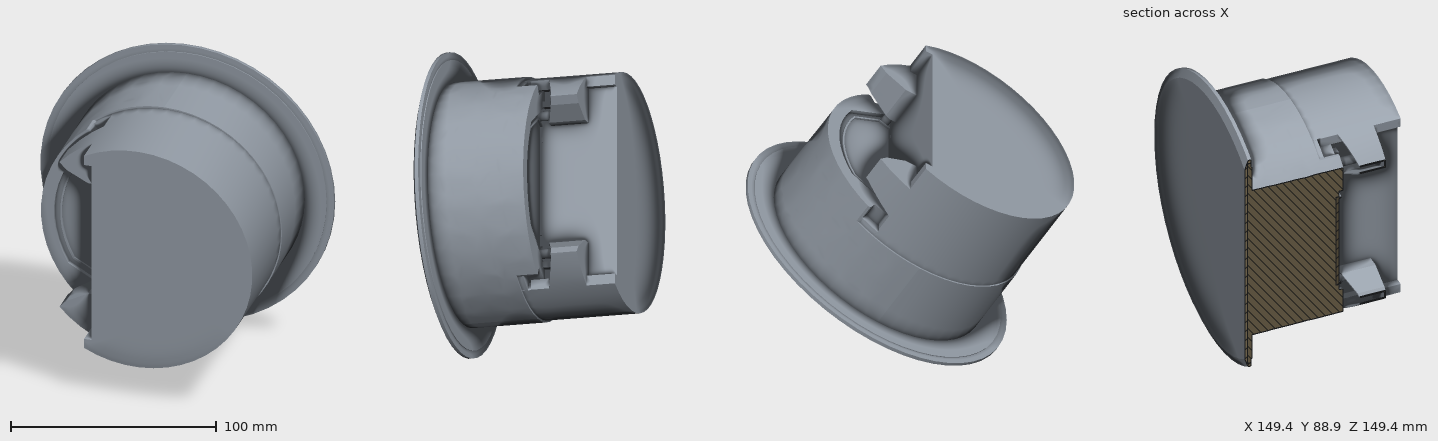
import cadquery as cq
import math


COVER_RADIUS = 74.7
COVER_DEPTH = 3.6
BEVEL_DEPTH = 1.8
BEVEL_WIDTH = 4.3
FLANGE_RADIUS = 72.8
FLANGE_TOP = 1.8
PAD_RADIUS = 71.0
PAD_DEPTH = 4.0

BARREL_RADIUS = 59.9
DRAFT = 0.5
BARREL_DEPTH = 41.8
TONGUE_DEPTH = 52.3
TONGUE_HALF_HEIGHT = 47.5
LEDGE_RADIUS = 58.6
LEDGE_DEPTH = 44.7

DRUM_RADIUS = 58.9
DRUM_CENTER_X = 0.5
DRUM_DEPTH = 88.9
DRUM_FLAT_X = -22.5
DRUM_SHOULDER_X = -26.3

ARM_DEPTH = 74.5
ARM_INNER_Z = 30.2
ARM_INNER_X = -28.7
ARM_KNEE = (-39.7, 35.9)
ARM_TIP_X = -43.2
ARM_BACK_DEPTH = 55.6
ARM_SLOPE_TIP = (-42.1, 61.3)
ARM_SLOPE_START_X = -26.3
ARM_WALL = 0.6

TAB_X = -26.3
TAB_DEPTH = 56.2
TAB_Z = 40.3
TAB_WIDTH = 3.0

FLAP_RADIUS = 49.2
FLAP_EDGE_DISTANCE = 42.3
FLAP_EDGE_ANGLE = 30.0
FLAP_KNEE_X = -28.7
FLAP_KNEE_DROP = 2.4
FLAP_DEPTH = 50.0
FLAP_THICKNESS = 1.5
FLAP_RIM_WIDTH = 0.9
FLAP_RIM_HEIGHT = 1.0
FLAP_SIDE_GAP = 0.5
LUG_Z = 23.5
LUG_WIDTH = 2.4
FRAME_MARGIN = 3.7

SLOT_CORNER = (-32.3, 43.0)
SLOT_ANGLE = 30.0
SLOT_LENGTH = 10.2
SLOT_HEIGHT = 18.0
SLOT_DRUM_DEPTH = 46.5

PIN_RADIUS = 2.4
PIN_X = -25.4
PIN_Z = 34.7

FLAP_SEAT_DEPTH = FLAP_DEPTH - FLAP_THICKNESS
FLAP_RIM_DEPTH = FLAP_DEPTH + FLAP_RIM_HEIGHT
ARM_FLOOR_DEPTH = ARM_DEPTH - ARM_WALL


def plane_at(depth):
    """Workplane at a depth, drawn in X and Z and extruding toward -Y."""
    return cq.Workplane("XZ", origin=(0, -depth, 0))


def disc(radius, start, end, center_x=0):
    return plane_at(start).center(center_x, 0).circle(radius).extrude(end - start)


def block(x_range, z_range, depth_range):
    """Box given by its X, Z and depth limits."""
    size = (x_range[1] - x_range[0], depth_range[1] - depth_range[0], z_range[1] - z_range[0])
    corner = (x_range[0], -depth_range[1], z_range[0])
    return cq.Workplane("XY").box(*size, centered=False).translate(corner)


def left_block(right_x, half_height, start, end):
    """Box reaching from beyond the -X side to right_x, centred on Z = 0."""
    return block((-COVER_RADIUS, right_x), (-half_height, half_height), (start, end))


def both_sides(upper):
    """The given upper shape together with its mirror image below Z = 0."""
    return upper.union(upper.mirror("XY"))


def flap_edge_z(x, growth):
    """Height of the flap's straight upper edge at X, with the flap grown outward."""
    tilt = math.radians(FLAP_EDGE_ANGLE)
    return (FLAP_EDGE_DISTANCE + growth + x * math.sin(tilt)) / math.cos(tilt)


def flap_prism(growth, knee, start, end):
    """Flap shape grown outward: an arc and two straight edges, which the knee bends toward Z = 0."""
    radius = FLAP_RADIUS + growth
    off_edge_normal = math.acos((FLAP_EDGE_DISTANCE + growth) / radius)
    corner_angle = math.radians(90 + FLAP_EDGE_ANGLE) + off_edge_normal
    corner = (radius * math.cos(corner_angle), radius * math.sin(corner_angle))
    if knee:
        knee_z = flap_edge_z(FLAP_KNEE_X, growth)
        upper = [(FLAP_KNEE_X, knee_z), (DRUM_FLAT_X, knee_z - FLAP_KNEE_DROP)]
    else:
        upper = [(DRUM_FLAT_X, flap_edge_z(DRUM_FLAT_X, growth))]
    lower = [(x, -z) for x, z in reversed(upper)]
    sketch = plane_at(start).moveTo(corner[0], -corner[1]).threePointArc((-radius, 0), corner)
    for point in upper + lower:
        sketch = sketch.lineTo(*point)
    return sketch.close().extrude(end - start)


def slots(end):
    """Tilted rectangular slots, open outward, from the ledge to the given depth."""
    slot = (
        plane_at(LEDGE_DEPTH)
        .rect(SLOT_LENGTH, SLOT_HEIGHT, centered=False)
        .extrude(end - LEDGE_DEPTH)
        .rotate((0, 0, 0), (0, 1, 0), -SLOT_ANGLE)
        .translate((SLOT_CORNER[0], 0, SLOT_CORNER[1]))
    )
    return both_sides(slot)


def make_cover():
    cover = disc(COVER_RADIUS, 0, COVER_DEPTH)
    cover = cover.faces(">Y").chamfer(BEVEL_DEPTH, BEVEL_WIDTH)
    return cover.cut(disc(FLANGE_RADIUS, FLANGE_TOP, COVER_DEPTH))


def make_barrel():
    """Barrel whose -X half is drafted inward toward the tongue's end."""
    straight = disc(BARREL_RADIUS, PAD_DEPTH, BARREL_DEPTH)
    drafted = (
        plane_at(PAD_DEPTH)
        .circle(BARREL_RADIUS)
        .workplane(offset=TONGUE_DEPTH - PAD_DEPTH)
        .ellipse(BARREL_RADIUS - DRAFT, BARREL_RADIUS)
        .loft(ruled=True)
    )
    left_half = left_block(0, COVER_RADIUS, PAD_DEPTH, BARREL_DEPTH)
    tongue_space = left_block(DRUM_FLAT_X, TONGUE_HALF_HEIGHT, BARREL_DEPTH, TONGUE_DEPTH)
    barrel = straight.cut(left_half).union(drafted.intersect(left_half))
    return barrel.union(drafted.intersect(tongue_space))


def make_housing():
    flange = disc(FLANGE_RADIUS, FLANGE_TOP, COVER_DEPTH)
    pad = disc(PAD_RADIUS, COVER_DEPTH, PAD_DEPTH)
    ledge_space = left_block(DRUM_SHOULDER_X, COVER_RADIUS, BARREL_DEPTH, LEDGE_DEPTH)
    ledge = disc(LEDGE_RADIUS, BARREL_DEPTH, LEDGE_DEPTH).intersect(ledge_space)
    housing = flange.union(pad).union(make_barrel()).union(ledge)
    housing = housing.cut(flap_prism(FRAME_MARGIN, False, FLAP_DEPTH, TONGUE_DEPTH))
    housing = housing.cut(flap_prism(FLAP_RIM_WIDTH, True, FLAP_SEAT_DEPTH, TONGUE_DEPTH))
    return housing.cut(slots(TONGUE_DEPTH))


def make_flap():
    """Rimmed plate, clear of the drum except for two lugs that bridge the gap."""
    flap = flap_prism(FLAP_RIM_WIDTH, True, FLAP_SEAT_DEPTH, FLAP_RIM_DEPTH)
    flap = flap.cut(flap_prism(0, True, FLAP_DEPTH, TONGUE_DEPTH))
    gap = (DRUM_FLAT_X - FLAP_SIDE_GAP, DRUM_FLAT_X)
    flap = flap.cut(block(gap, (-DRUM_RADIUS, DRUM_RADIUS), (FLAP_SEAT_DEPTH, FLAP_RIM_DEPTH)))
    lug_z = (LUG_Z - LUG_WIDTH / 2, LUG_Z + LUG_WIDTH / 2)
    lug = block(gap, lug_z, (FLAP_SEAT_DEPTH, FLAP_RIM_DEPTH))
    return flap.union(both_sides(lug))


def make_arms():
    """Thin-walled arms, open toward the tongue, with their back edges cut on a slant."""
    tip_z = math.sqrt(DRUM_RADIUS**2 - (ARM_TIP_X - DRUM_CENTER_X) ** 2)
    outline = [
        (DRUM_FLAT_X, ARM_INNER_Z),
        (ARM_INNER_X, ARM_INNER_Z),
        ARM_KNEE,
        (ARM_TIP_X, tip_z),
        (ARM_TIP_X, DRUM_RADIUS),
        (DRUM_FLAT_X, DRUM_RADIUS),
    ]
    arm = plane_at(TONGUE_DEPTH).polyline(outline).close().extrude(ARM_DEPTH - TONGUE_DEPTH)
    arm = arm.intersect(disc(DRUM_RADIUS, TONGUE_DEPTH, ARM_DEPTH, DRUM_CENTER_X))
    cavity = plane_at(TONGUE_DEPTH).polyline(outline).close().offset2D(-ARM_WALL)
    cavity = cavity.extrude(ARM_FLOOR_DEPTH - TONGUE_DEPTH)
    cavity = cavity.union(cavity.translate((ARM_WALL, 0, 0)))
    inner_disc = disc(DRUM_RADIUS - ARM_WALL, TONGUE_DEPTH, ARM_FLOOR_DEPTH, DRUM_CENTER_X)
    arm = arm.cut(cavity.intersect(inner_disc))
    side_profile = [
        (DRUM_FLAT_X, -ARM_BACK_DEPTH),
        (ARM_SLOPE_START_X, -ARM_BACK_DEPTH),
        (ARM_SLOPE_TIP[0], -ARM_SLOPE_TIP[1]),
        (ARM_TIP_X, -ARM_SLOPE_TIP[1]),
        (ARM_TIP_X, -ARM_DEPTH),
        (DRUM_FLAT_X, -ARM_DEPTH),
    ]
    side_shape = cq.Workplane("XY").polyline(side_profile).close().extrude(DRUM_RADIUS)
    return both_sides(arm.intersect(side_shape))


def make_tabs():
    half_width = TAB_WIDTH / 2
    tab = block(
        (TAB_X, DRUM_FLAT_X),
        (TAB_Z - half_width, TAB_Z + half_width),
        (TONGUE_DEPTH, TAB_DEPTH),
    )
    return both_sides(tab)


def make_pin(side):
    """Pin reaching from the recessed frame around the flap to the floor inside an arm."""
    pin = plane_at(FLAP_DEPTH).center(PIN_X, side * PIN_Z).circle(PIN_RADIUS)
    return pin.extrude(ARM_FLOOR_DEPTH - FLAP_DEPTH)


def make_drum():
    drum = disc(DRUM_RADIUS, BARREL_DEPTH, DRUM_DEPTH, DRUM_CENTER_X)
    drum = drum.cut(left_block(DRUM_SHOULDER_X, COVER_RADIUS, BARREL_DEPTH, DRUM_DEPTH))
    drum = drum.cut(left_block(DRUM_FLAT_X, TONGUE_HALF_HEIGHT, BARREL_DEPTH, DRUM_DEPTH))
    drum = drum.cut(slots(SLOT_DRUM_DEPTH))
    return drum.union(make_arms()).union(make_tabs())


cover = make_cover()
housing = make_housing()
flap = make_flap()
pins = [make_pin(side) for side in (1, -1)]
drum = make_drum()

bodies = [cover, housing, flap, drum, *pins]
result = cq.Compound.makeCompound([body.solids().val() for body in bodies])